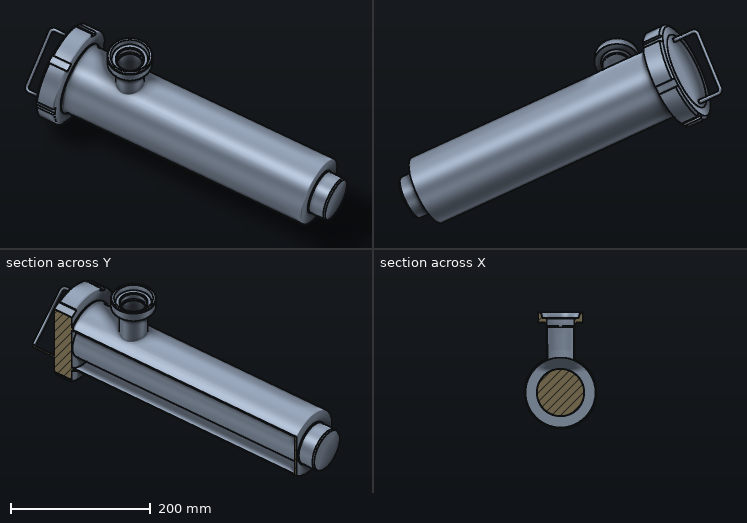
import cadquery as cq
import math

overall_length = 494.5

shell_dia = 104.0
shell_bore_dia = 100.0
shell_end_x = 467.0
shell_end_fillet = 1.5
end_plate_thickness = 4.0
core_dia = 68.0

spigot_dia = 65.0
spigot_chamfer_length = 2.8
spigot_chamfer_depth = 1.0
spigot_weld_leg = 1.2

nut_dia = 148.0
nut_front_x = 39.4
nut_rear_x = 71.0
nut_front_chamfer_length = 3.4
nut_front_chamfer_depth = 4.2
nut_rear_round = 3.0
lid_dia = 114.0
lid_setback = 0.1
slot_count = 6
slot_width = 12.0
slot_floor_dia = 139.6
slot_start_angle = 4.5

collar_dia = 110.0
collar_end_x = 72.4
collar_blend = (collar_dia - shell_dia) / 2

handle_rod_dia = 6.0
handle_leg_spacing = 96.2
handle_bend_radius = 6.0
handle_tilt = 39.7

nozzle_x = 153.8
nozzle_top_z = 114.83
nozzle_tube_dia = 41.0
nozzle_tube_bore_dia = 37.0
nozzle_bore_dia = 38.0
nozzle_bore_step_depth = 21.5
nozzle_flange_dia = 65.0
nozzle_flange_thickness = 15.0
nozzle_flange_chamfer = 1.0
nozzle_hub_dia = 46.0
nozzle_hub_length = 4.5
nozzle_weld_radius = 1.0
seat_floor_dia = 51.8
seat_depth = 8.0
seat_half_angle = 15.0
bore_lip_chamfer = 1.5


def x_cylinder(diameter, x_start, x_end):
    """Cylinder on the vessel axis between two X positions."""
    return cq.Workplane("YZ", origin=(x_start, 0, 0)).circle(diameter / 2).extrude(x_end - x_start)


def revolve_about_x(profile):
    """Solid of revolution from (x, radius) points."""
    return cq.Workplane("XY").polyline(profile).close().revolve(360, (0, 0, 0), (1, 0, 0))


def make_nut():
    radius = nut_dia / 2
    round_offset = nut_rear_round * math.sqrt(0.5)
    nut = (
        cq.Workplane("XY")
        .moveTo(nut_front_x, 0)
        .lineTo(nut_front_x, radius - nut_front_chamfer_depth)
        .lineTo(nut_front_x + nut_front_chamfer_length, radius)
        .lineTo(nut_rear_x - nut_rear_round, radius)
        .threePointArc(
            (nut_rear_x - nut_rear_round + round_offset, radius - nut_rear_round + round_offset),
            (nut_rear_x, radius - nut_rear_round),
        )
        .lineTo(nut_rear_x, 0)
        .close()
        .revolve(360, (0, 0, 0), (1, 0, 0))
    )
    slot_floor = slot_floor_dia / 2
    cutter_height = nut_dia - slot_floor_dia
    slot_cutter = cq.Workplane("XY").box(
        nut_rear_x - nut_front_x, cutter_height, slot_width, centered=(False, False, True)
    ).translate((nut_front_x, -slot_floor - cutter_height, 0))
    for index in range(slot_count):
        angle = slot_start_angle + index * 360 / slot_count
        nut = nut.cut(slot_cutter.rotate((0, 0, 0), (1, 0, 0), -angle))
    return nut.cut(x_cylinder(lid_dia, nut_front_x, nut_front_x + lid_setback))


def make_collar():
    shell_radius = shell_dia / 2
    collar_radius = collar_dia / 2
    blend_end_x = collar_end_x + collar_blend
    blend_offset = collar_blend * math.sqrt(0.5)
    return (
        cq.Workplane("XY")
        .moveTo(nut_rear_x, 0)
        .lineTo(nut_rear_x, collar_radius)
        .lineTo(collar_end_x, collar_radius)
        .threePointArc(
            (blend_end_x - blend_offset, collar_radius - blend_offset),
            (blend_end_x, shell_radius),
        )
        .lineTo(blend_end_x, 0)
        .close()
        .revolve(360, (0, 0, 0), (1, 0, 0))
    )


def make_shell():
    shell = x_cylinder(shell_dia, nut_rear_x, shell_end_x)
    return shell.faces(">X").edges().fillet(shell_end_fillet)


def make_spigot():
    radius = spigot_dia / 2
    return revolve_about_x([
        (shell_end_x, 0),
        (shell_end_x, radius + spigot_weld_leg),
        (shell_end_x + spigot_weld_leg, radius),
        (overall_length - spigot_chamfer_length, radius),
        (overall_length, radius - spigot_chamfer_depth),
        (overall_length, 0),
    ])


def make_handle():
    bar_x = handle_rod_dia / 2
    half_spacing = handle_leg_spacing / 2
    bend_x = bar_x + handle_bend_radius
    bend_y = half_spacing - handle_bend_radius
    bend_offset = handle_bend_radius * math.sqrt(0.5)
    path = (
        cq.Workplane("XY")
        .moveTo(nut_rear_x, -half_spacing)
        .lineTo(bend_x, -half_spacing)
        .threePointArc((bend_x - bend_offset, -bend_y - bend_offset), (bar_x, -bend_y))
        .lineTo(bar_x, bend_y)
        .threePointArc((bend_x - bend_offset, bend_y + bend_offset), (bend_x, half_spacing))
        .lineTo(nut_rear_x, half_spacing)
    )
    rod = cq.Workplane("YZ", origin=(nut_rear_x, -half_spacing, 0)).circle(handle_rod_dia / 2).sweep(path)
    return rod.rotate((0, 0, 0), (1, 0, 0), handle_tilt)


def revolve_nozzle(profile):
    """Solid of revolution about the nozzle axis from (radius, z) points."""
    turned = cq.Workplane("XZ").polyline(profile).close().revolve(360, (0, 0, 0), (0, 1, 0))
    return turned.translate((nozzle_x, 0, 0))


def make_nozzle():
    flange_radius = nozzle_flange_dia / 2
    flange_bottom_z = nozzle_top_z - nozzle_flange_thickness
    tube_radius = nozzle_tube_dia / 2
    return revolve_nozzle([
        (0, 0),
        (tube_radius, 0),
        (tube_radius, flange_bottom_z - nozzle_hub_length),
        (nozzle_hub_dia / 2, flange_bottom_z),
        (flange_radius, flange_bottom_z),
        (flange_radius, nozzle_top_z - nozzle_flange_chamfer),
        (flange_radius - nozzle_flange_chamfer, nozzle_top_z),
        (0, nozzle_top_z),
    ])


def make_nozzle_opening():
    tube_bore_radius = nozzle_tube_bore_dia / 2
    bore_radius = nozzle_bore_dia / 2
    bore_step_z = nozzle_top_z - nozzle_bore_step_depth
    seat_floor_radius = seat_floor_dia / 2
    seat_mouth_radius = seat_floor_radius + seat_depth * math.tan(math.radians(seat_half_angle))
    seat_floor_z = nozzle_top_z - seat_depth
    return revolve_nozzle([
        (0, 0),
        (tube_bore_radius, 0),
        (tube_bore_radius, bore_step_z),
        (bore_radius, bore_step_z),
        (bore_radius, seat_floor_z - bore_lip_chamfer),
        (bore_radius + bore_lip_chamfer, seat_floor_z),
        (seat_floor_radius, seat_floor_z),
        (seat_mouth_radius, nozzle_top_z),
        (0, nozzle_top_z),
    ])


def make_cavity():
    """Ring-shaped space between the shell wall and the strainer core, joined to the nozzle opening."""
    cavity_end_x = shell_end_x - end_plate_thickness
    hollow = x_cylinder(shell_bore_dia, nut_rear_x, cavity_end_x).union(make_nozzle_opening())
    return hollow.cut(x_cylinder(core_dia, nut_rear_x, cavity_end_x))


def weld_nozzle_to(shell):
    """Join the nozzle to the shell with a small blend all round its foot."""
    nozzle_radius = nozzle_tube_dia / 2
    margin = nozzle_weld_radius
    foot_zone = cq.selectors.BoxSelector(
        (nozzle_x - nozzle_radius - margin, -nozzle_radius - margin, shell_dia / 4),
        (nozzle_x + nozzle_radius + margin, nozzle_radius + margin, shell_dia / 2 + margin),
        boundingbox=True,
    )
    return shell.union(make_nozzle()).edges(foot_zone).fillet(nozzle_weld_radius)


outside = weld_nozzle_to(make_shell()).union(make_collar()).union(make_spigot())
outside = outside.union(make_nut()).union(make_handle())
result = outside.cut(make_cavity())